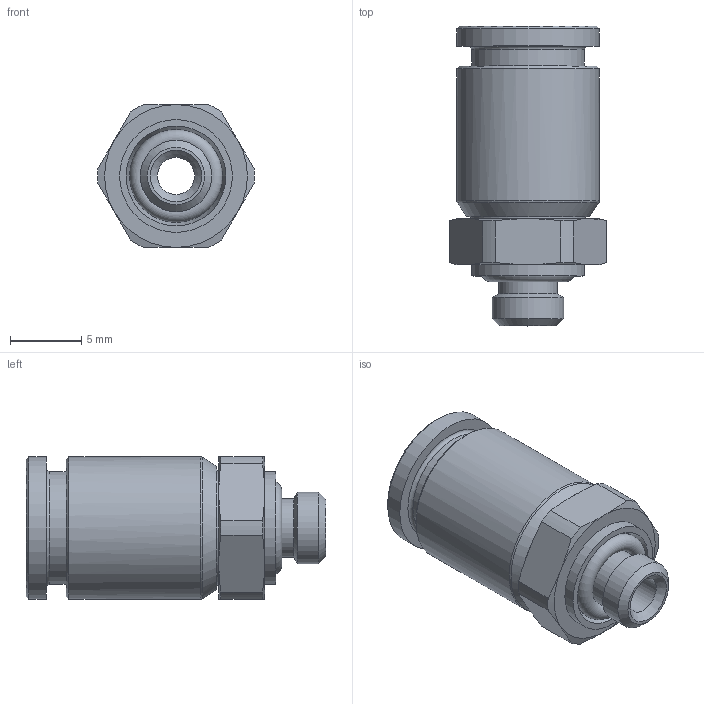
import cadquery as cq
import math


total_length = 21.0
thread_end = 2.25
collar_start = 3.5
hex_start = 4.3
hex_end = 7.5
sleeve_start = 7.65
taper_end = 8.7
sleeve_end = 18.2
flange_start = 19.6

bore_radius = 1.3
neck_radius = 2.05
thread_radius = 2.5
collar_radius = 3.95
stem_radius = collar_radius
sleeve_neck_radius = 4.0
taper_radius = 4.3
sleeve_radius = 5.0

mouth_chamfer = 0.5
tip_chamfer = 0.5
thread_runout = 0.25
rim_chamfer = 0.2
taper_blend = 0.25
flange_fillet = 0.25

hex_flat_radius = 5.0
hex_corner_radius = 5.5
hex_chamfer_angle = 15.0

ring_section_radius = 0.6
ring_centre_radius = neck_radius + ring_section_radius
recess_floor = hex_start
ring_centre = recess_floor - ring_section_radius
recess_floor_radius = ring_centre_radius + ring_section_radius
recess_mouth_radius = 3.5


def revolve_about_y(outline):
    """Turn a closed outline of X = radius, Y = distance along the axis."""
    return outline.revolve(360, (0, 0, 0), (0, 1, 0))


def turn(points):
    """Turn a straight-sided outline given as (radius, distance) points."""
    return revolve_about_y(cq.Workplane("XY").polyline(points).close())


def threaded_end():
    """Chamfered thread, neck and collar with a conical recess for the ring."""
    return turn([
        (0, 0),
        (thread_radius - tip_chamfer, 0),
        (thread_radius, tip_chamfer),
        (thread_radius, thread_end - thread_runout),
        (neck_radius, thread_end),
        (neck_radius, recess_floor),
        (recess_floor_radius, recess_floor),
        (recess_mouth_radius, collar_start),
        (collar_radius, collar_start),
        (collar_radius, hex_end),
        (0, hex_end),
    ])


def hexagon():
    """Hexagonal ring with flats on +Z and -Z, its corners rounded and chamfered."""
    corner_width = hex_corner_radius - hex_flat_radius
    corner_chamfer = corner_width * math.tan(math.radians(hex_chamfer_angle))
    point_diameter = 2 * hex_flat_radius / math.cos(math.pi / 6)
    prism = (
        cq.Workplane("XZ", origin=(0, hex_start, 0))
        .polygon(6, point_diameter)
        .circle(neck_radius)
        .extrude(hex_start - hex_end)
    )
    envelope = turn([
        (0, hex_start),
        (hex_flat_radius, hex_start),
        (hex_corner_radius, hex_start + corner_chamfer),
        (hex_corner_radius, hex_end - corner_chamfer),
        (hex_flat_radius, hex_end),
        (0, hex_end),
    ])
    return prism.intersect(envelope)


def sleeve():
    """Cylindrical sleeve that tapers down to a short neck above the hexagon."""
    body = turn([
        (0, hex_end),
        (sleeve_neck_radius, hex_end),
        (sleeve_neck_radius, sleeve_start),
        (taper_radius, sleeve_start),
        (sleeve_radius, taper_end),
        (sleeve_radius, sleeve_end),
        (0, sleeve_end),
    ])
    taper_edge = cq.NearestToPointSelector((0, taper_end, 0))
    return body.edges(taper_edge).fillet(taper_blend).faces(">Y").edges().chamfer(rim_chamfer)


def release_button():
    """Stem and flange of the button, with a rounded root under the flange."""
    outline = (
        cq.Workplane("XY")
        .moveTo(0, sleeve_end)
        .lineTo(stem_radius, sleeve_end)
        .lineTo(stem_radius, flange_start - flange_fillet)
        .tangentArcPoint((stem_radius + flange_fillet, flange_start), relative=False)
        .lineTo(sleeve_radius, flange_start)
        .lineTo(sleeve_radius, total_length - rim_chamfer)
        .lineTo(sleeve_radius - rim_chamfer, total_length)
        .lineTo(0, total_length)
        .close()
    )
    return revolve_about_y(outline)


def bore():
    """Through bore, chamfered at the threaded tip."""
    return turn([
        (0, 0),
        (bore_radius + mouth_chamfer, 0),
        (bore_radius, mouth_chamfer),
        (bore_radius, total_length),
        (0, total_length),
    ])


def fitting_body():
    outside = threaded_end().union(hexagon()).union(sleeve()).union(release_button())
    return outside.cut(bore())


def sealing_ring():
    section = cq.Workplane("XY").moveTo(ring_centre_radius, ring_centre).circle(ring_section_radius)
    return revolve_about_y(section)


fitting = fitting_body()
ring = sealing_ring()
result = cq.Compound.makeCompound([fitting.solids().val(), ring.solids().val()])